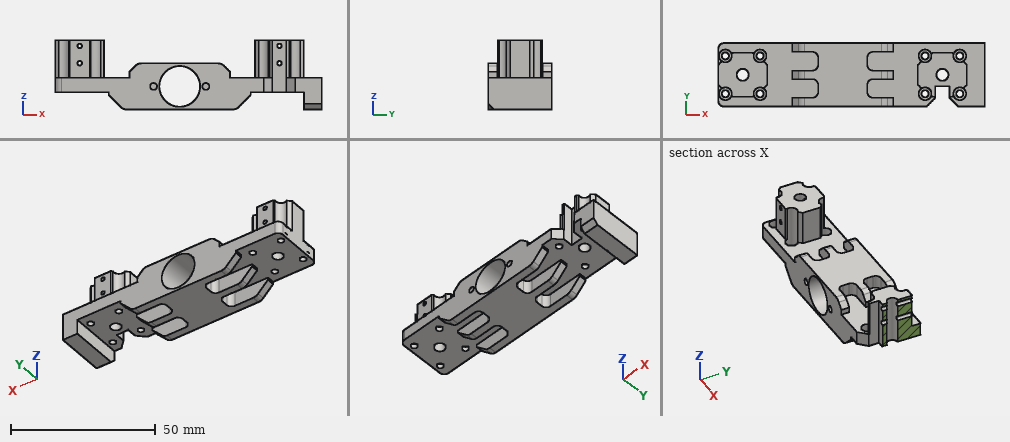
import cadquery as cq

length = 92.0
width = 22.0
plate_bottom = 6.0
plate_top = 11.0
plate_corner_radius = 2.0

foot_length = 6.2
foot_chamfer = 2.0

body_x = 43.0
body_top = 16.0
upper_half_length = 17.4
upper_chamfer = 2.9
lower_half_length = 24.6
lower_chamfer = 5.1
body_blend_radius = 2.9
cross_bore_z = body_top / 2
cross_bore_radius = 7.0
pin_offset = 9.0
pin_radius = 1.2
pin_depth = 5.0

slot_y = 4.7
slot_width = 6.4
slot_inner_half_length = 8.5
slot_corner_radius = 2.0

post_top = 24.0
post_half_x = 8.5
post_half_y = 7.6
post_flat_half = 3.4
end_bevel = 1.4
side_bevel = 0.6
post_bore_radius = 2.0
cross_hole_radius = 0.7
cross_hole_heights = (16.0, 22.0)
left_post_x = post_half_x
right_post_x = length - foot_length - post_half_x

screw_offset_x = 6.0
screw_offset_y = 6.5
screw_radius = 1.2
counterbore_radius = 2.2
counterbore_floor = 8.0

notch_width = 4.9
notch_end_y = -4.0
notch_flare = 3.0


def block(x_min, x_max, y_min, y_max, z_min, z_max):
    """Box given by its limits along each axis."""
    size = (x_max - x_min, y_max - y_min, z_max - z_min)
    return cq.Workplane("XY").box(*size, centered=False).translate((x_min, y_min, z_min))


def upright_cylinder(x, y, radius, z_min, z_max):
    return cq.Workplane("XY", origin=(x, y, z_min)).circle(radius).extrude(z_max - z_min)


def bore_along_y(x, z, radius, depth):
    """Cylinder entering the part from its -Y face."""
    plane = cq.Workplane("XZ", origin=(x, -width / 2, z))
    return plane.circle(radius).extrude(-depth)


def make_plate():
    plate = block(0, length, -width / 2, width / 2, plate_bottom, plate_top)
    return plate.edges("|Z and <X").fillet(plate_corner_radius)


def make_foot():
    foot = block(length - foot_length, length, -width / 2, width / 2, 0, plate_top)
    return foot.edges("|X and <Y and <Z").chamfer(foot_chamfer)


def chamfered_block(half_length, z_min, z_max, chamfer, side):
    """Body half with its end corners chamfered and blended into the outer face on the given side."""
    half = block(body_x - half_length, body_x + half_length, -width / 2, width / 2, z_min, z_max)
    half = half.faces(side).edges("|Y").chamfer(chamfer)
    return half.faces(side).edges("|Y").fillet(body_blend_radius)


def slot_cutters(half_length, z_min, z_max):
    """Four slots running inward from the ends of a body half."""
    slot_length = half_length - slot_inner_half_length
    middle = slot_inner_half_length + slot_length / 2
    cutters = cq.Workplane("XY")
    for direction, inner_side in ((-1, ">X"), (1, "<X")):
        for y in (-slot_y, slot_y):
            x = body_x + direction * middle
            slot = block(
                x - slot_length / 2, x + slot_length / 2,
                y - slot_width / 2, y + slot_width / 2,
                z_min, z_max,
            )
            cutters.add(slot.faces(inner_side).edges("|Z").fillet(slot_corner_radius))
    return cutters.combine()


def make_body():
    upper = chamfered_block(upper_half_length, plate_bottom, body_top, upper_chamfer, ">Z")
    upper = upper.cut(slot_cutters(upper_half_length, plate_top, body_top))
    lower = chamfered_block(lower_half_length, 0, plate_top, lower_chamfer, "<Z")
    lower = lower.cut(slot_cutters(lower_half_length, 0, plate_bottom))
    return upper.union(lower)


def make_post(x):
    corner = [
        (post_half_x, post_flat_half),
        (post_half_x - end_bevel, post_flat_half + end_bevel),
        (post_flat_half + side_bevel, post_half_y - side_bevel),
        (post_flat_half, post_half_y),
    ]
    back_half = corner + [(-px, py) for px, py in reversed(corner)]
    outline = back_half + [(px, -py) for px, py in reversed(back_half)]
    plane = cq.Workplane("XY", origin=(x, 0, plate_bottom))
    return plane.polyline(outline).close().extrude(post_top - plate_bottom)


def cut_post_holes(solid, x):
    """Central bore, cross holes and the counterbored screw holes of one post."""
    solid = solid.cut(upright_cylinder(x, 0, post_bore_radius, plate_bottom, post_top))
    for z in cross_hole_heights:
        solid = solid.cut(bore_along_y(x, z, cross_hole_radius, width))
    for dx in (-screw_offset_x, screw_offset_x):
        for y in (-screw_offset_y, screw_offset_y):
            hole = upright_cylinder(x + dx, y, screw_radius, plate_bottom, plate_top)
            counterbore = upright_cylinder(x + dx, y, counterbore_radius, counterbore_floor, post_top)
            solid = solid.cut(hole).cut(counterbore)
    return solid


def make_notch():
    half = notch_width / 2
    front = -width / 2
    outline = [
        (-half, notch_end_y),
        (half, notch_end_y),
        (half, front + notch_flare),
        (half + notch_flare, front),
        (-half - notch_flare, front),
        (-half, front + notch_flare),
    ]
    plane = cq.Workplane("XY", origin=(right_post_x, 0, 0))
    return plane.polyline(outline).close().extrude(post_top)


result = make_plate().union(make_foot())
for post_x in (left_post_x, right_post_x):
    result = result.union(make_post(post_x))
result = result.cut(make_notch())
for post_x in (left_post_x, right_post_x):
    result = cut_post_holes(result, post_x)

result = result.union(make_body())
result = result.cut(bore_along_y(body_x, cross_bore_z, cross_bore_radius, width))
for offset in (-pin_offset, pin_offset):
    result = result.cut(bore_along_y(body_x + offset, cross_bore_z, pin_radius, pin_depth))